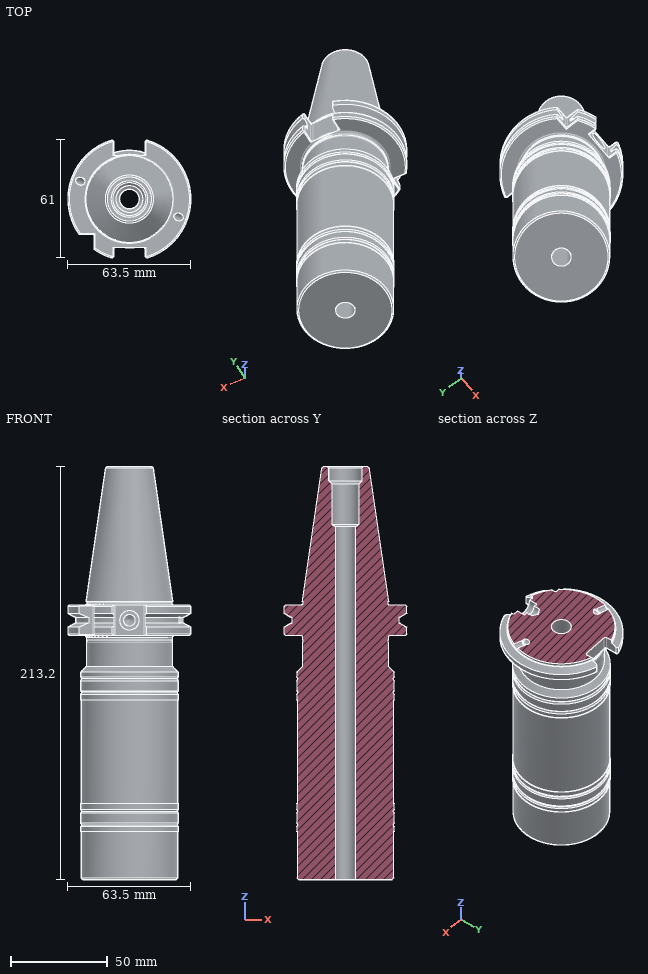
import math

import cadquery as cq


GAUGE_DIAMETER = 44.45
TAPER_PER_LENGTH = 7 / 24
TAPER_TOP = 68.25
TAPER_TOP_CHAMFER = 0.9
TAPER_BOTTOM = -1.4
COLLAR_DIAMETER = 43.95
COLLAR_FILLET = 0.9

FLANGE_DIAMETER = 63.55
FLANGE_TOP = -3.2
FLANGE_BOTTOM = -19.1
FLANGE_CHAMFER = 0.8
GRIP_GROOVE_WIDTH = 7.1
GRIP_GROOVE_FLOOR_WIDTH = 2.9
GRIP_GROOVE_DIAMETER = 55.5
GRIP_GROOVE_FLANK_ANGLE = 30

NECK_FILLET = 0.9
RELIEF_DIAMETER = 43.95
RELIEF_TOP = -21.2
RELIEF_BOTTOM = -22.5
NECK_BOTTOM = -34.9

BODY_BOTTOM = -145.0
BODY_DIAMETER = 50.0
BODY_BOTTOM_CHAMFER = 0.9
BAND_DIAMETER = 50.5
BAND_LENGTH = 14.4
LOWER_BAND_BOTTOM = -120.1
BAND_GROOVE_OFFSETS = (2.6, 9.6)
BAND_GROOVE_WIDTH = 1.85
BAND_GROOVE_STEEP_LENGTH = 0.7
BAND_GROOVE_DIAMETER = 49.3

BORE_DIAMETER = 10.0
THREAD_BORE_DIAMETER = 13.84
THREAD_BORE_DEPTH = 30.0
THREAD_ENTRY_ANGLE = 45
PILOT_DIAMETER = 17.0
PILOT_DEPTH = 7.5
PILOT_CHAMFER = 0.9
DRILL_POINT_ANGLE = 118

SLOT_WIDTH = 16.1
SLOT_RIM_CHAMFER = 0.85
SLOT_FACE_CHAMFER = 0.5
SLOT_FLOOR_FILLET = 0.9
FRONT_SLOT_FLOOR = 25.0
BACK_SLOT_FLOOR = 22.5
NOTCH_DISTANCE = 18.3
NOTCH_FACE_CHAMFER = 0.5
NOTCH_FILLET = 0.7

CHIP_POCKET_DIAMETER = 10.0
CHIP_POCKET_DEPTH = 4.6
CHIP_PILOT_DIAMETER = 6.0
CHIP_PILOT_DEPTH = 8.0

COOLANT_HOLE_DIAMETER = 3.9
COOLANT_CIRCLE_DIAMETER = 54.0
COOLANT_HOLE_ANGLES = (160, 340)
COOLANT_HOLE_DEPTH = 10.0
COOLANT_HOLE_TILT = 38
COOLANT_HOLE_OVERRUN = 3.0
PLUG_HOLE_DIAMETER = 3.24
PLUG_HOLE_DEPTH = 5.0

GAUGE_RADIUS = GAUGE_DIAMETER / 2
BAND_RADIUS = BAND_DIAMETER / 2
FLANGE_RADIUS = FLANGE_DIAMETER / 2
FLANGE_THICKNESS = FLANGE_TOP - FLANGE_BOTTOM
FLANGE_MIDDLE = (FLANGE_TOP + FLANGE_BOTTOM) / 2


def drill_point_length(diameter):
    """Height of the conical point that a drill leaves."""
    return diameter / 2 / math.tan(math.radians(DRILL_POINT_ANGLE / 2))


def revolved(points):
    """Turn an outline of (radius, z) points about Z."""
    return cq.Workplane("XZ").polyline(points).close().revolve(360, (0, 0), (0, 1))


def drilled(start, direction, diameter, depth):
    """Blind hole tool with a drill point beyond its full-diameter depth."""
    radius = diameter / 2
    hole = cq.Solid.makeCylinder(radius, depth, start, direction)
    end = start + direction * depth
    point = cq.Solid.makeCone(radius, 0, drill_point_length(diameter), end, direction)
    return cq.Workplane(hole).union(cq.Workplane(point))


def band_points(outer_end, inward):
    """Outline of a band from its outer end towards mid body; inward is -1 (down) or 1 (up)."""
    points = [(BAND_RADIUS, outer_end)]
    for offset in BAND_GROOVE_OFFSETS:
        points += [
            (BAND_RADIUS, outer_end + inward * offset),
            (BAND_GROOVE_DIAMETER / 2, outer_end + inward * (offset + BAND_GROOVE_STEEP_LENGTH)),
            (BAND_RADIUS, outer_end + inward * (offset + BAND_GROOVE_WIDTH)),
        ]
    inner_end = outer_end + inward * BAND_LENGTH
    return points + [(BAND_RADIUS, inner_end), (BODY_DIAMETER / 2, inner_end)]


def taper():
    """Taper with its chamfered end and the filleted collar below it."""
    top_radius = GAUGE_RADIUS - TAPER_TOP * TAPER_PER_LENGTH / 2
    bottom_radius = GAUGE_RADIUS - TAPER_BOTTOM * TAPER_PER_LENGTH / 2
    collar_radius = COLLAR_DIAMETER / 2
    chamfer_z = TAPER_TOP - TAPER_TOP_CHAMFER
    outline = (
        cq.Workplane("XZ")
        .moveTo(0, TAPER_TOP)
        .lineTo(top_radius - TAPER_TOP_CHAMFER, TAPER_TOP)
        .lineTo(top_radius + TAPER_TOP_CHAMFER * TAPER_PER_LENGTH / 2, chamfer_z)
        .lineTo(bottom_radius, TAPER_BOTTOM)
        .lineTo(collar_radius, TAPER_BOTTOM - (bottom_radius - collar_radius))
        .lineTo(collar_radius, FLANGE_TOP + COLLAR_FILLET)
        .radiusArc((collar_radius + COLLAR_FILLET, FLANGE_TOP), -COLLAR_FILLET)
        .lineTo(0, FLANGE_TOP)
        .close()
    )
    return outline.revolve(360, (0, 0), (0, 1))


def neck_and_body():
    """Everything below the flange, turned in one outline."""
    body_radius = BODY_DIAMETER / 2
    upper_band_top = NECK_BOTTOM - (BAND_RADIUS - GAUGE_RADIUS)
    lower_band = band_points(LOWER_BAND_BOTTOM, 1)
    lower_band.reverse()
    outline = (
        cq.Workplane("XZ")
        .moveTo(0, FLANGE_BOTTOM)
        .lineTo(GAUGE_RADIUS + NECK_FILLET, FLANGE_BOTTOM)
        .radiusArc((GAUGE_RADIUS, FLANGE_BOTTOM - NECK_FILLET), -NECK_FILLET)
    )
    remaining = [
        (GAUGE_RADIUS, RELIEF_TOP),
        (RELIEF_DIAMETER / 2, RELIEF_TOP),
        (GAUGE_RADIUS, RELIEF_BOTTOM),
        (GAUGE_RADIUS, NECK_BOTTOM),
        *band_points(upper_band_top, -1),
        *lower_band,
        (body_radius, LOWER_BAND_BOTTOM),
        (body_radius, BODY_BOTTOM + BODY_BOTTOM_CHAMFER),
        (body_radius - BODY_BOTTOM_CHAMFER, BODY_BOTTOM),
        (0, BODY_BOTTOM),
    ]
    for point in remaining:
        outline = outline.lineTo(*point)
    return outline.close().revolve(360, (0, 0), (0, 1))


def flange():
    """Flange disc with its grip groove, drive slots and notch; the groove floor is a square recess."""
    floor_radius = GRIP_GROOVE_DIAMETER / 2
    rim_half = GRIP_GROOVE_WIDTH / 2
    floor_half = GRIP_GROOVE_FLOOR_WIDTH / 2
    flank_angle = math.radians(GRIP_GROOVE_FLANK_ANGLE)
    flank_radius = FLANGE_RADIUS - (rim_half - floor_half) / math.tan(flank_angle)
    disc = revolved([
        (0, FLANGE_TOP),
        (FLANGE_RADIUS - FLANGE_CHAMFER, FLANGE_TOP),
        (FLANGE_RADIUS, FLANGE_TOP - FLANGE_CHAMFER),
        (FLANGE_RADIUS, FLANGE_MIDDLE + rim_half),
        (flank_radius, FLANGE_MIDDLE + floor_half),
        (floor_radius, FLANGE_MIDDLE + floor_half),
        (floor_radius, FLANGE_MIDDLE - floor_half),
        (flank_radius, FLANGE_MIDDLE - floor_half),
        (FLANGE_RADIUS, FLANGE_MIDDLE - rim_half),
        (FLANGE_RADIUS, FLANGE_BOTTOM + FLANGE_CHAMFER),
        (FLANGE_RADIUS - FLANGE_CHAMFER, FLANGE_BOTTOM),
        (0, FLANGE_BOTTOM),
    ])
    return (
        disc.cut(drive_slot(FRONT_SLOT_FLOOR))
        .cut(drive_slot(BACK_SLOT_FLOOR).rotate((0, 0, 0), (0, 0, 1), 180))
        .cut(index_notch())
    )


def drive_slot(floor_distance):
    """Slot on the -Y side: rounded floor corners, walls chamfered at the rim and at both faces."""
    half = SLOT_WIDTH / 2
    depth = FLANGE_RADIUS - floor_distance
    slot = (
        cq.Workplane("XY")
        .box(SLOT_WIDTH, depth, FLANGE_THICKNESS)
        .translate((0, -floor_distance - depth / 2, FLANGE_MIDDLE))
        .edges("|Z and >Y")
        .fillet(SLOT_FLOOR_FILLET)
    )

    rim_half = half + SLOT_RIM_CHAMFER
    rim_y = -math.sqrt(FLANGE_RADIUS**2 - rim_half**2)
    flare_reach = FLANGE_RADIUS + rim_y
    flare = (
        cq.Workplane("XY", origin=(0, 0, FLANGE_BOTTOM))
        .polyline([
            (-half, rim_y + SLOT_RIM_CHAMFER),
            (-rim_half - flare_reach, -FLANGE_RADIUS),
            (rim_half + flare_reach, -FLANGE_RADIUS),
            (half, rim_y + SLOT_RIM_CHAMFER),
        ])
        .close()
        .extrude(FLANGE_THICKNESS)
    )

    tool = slot.union(flare)
    face_half = half + SLOT_FACE_CHAMFER
    for side in (-1, 1):
        for face_z, inward in ((FLANGE_TOP, -1), (FLANGE_BOTTOM, 1)):
            face_chamfer = (
                cq.Workplane("XZ", origin=(0, -floor_distance, 0))
                .polyline([
                    (side * half, face_z),
                    (side * face_half, face_z),
                    (side * half, face_z + inward * SLOT_FACE_CHAMFER),
                ])
                .close()
                .extrude(depth)
            )
            tool = tool.union(face_chamfer)
    return tool


def index_notch():
    """Square notch that opens towards -X and -Y, chamfered at both faces."""
    size = FLANGE_RADIUS
    centre = -NOTCH_DISTANCE - size / 2
    notch = cq.Workplane("XY").box(size, size, FLANGE_THICKNESS)
    notch = notch.edges("|Z and >X and >Y").fillet(NOTCH_FILLET)
    notch = notch.translate((centre, centre, FLANGE_MIDDLE))
    for face_z, taper_direction in ((FLANGE_TOP, -1), (FLANGE_BOTTOM, 1)):
        chamfer = (
            cq.Workplane("XY", origin=(centre, centre, face_z))
            .rect(size + 2 * NOTCH_FACE_CHAMFER, size + 2 * NOTCH_FACE_CHAMFER)
            .extrude(taper_direction * NOTCH_FACE_CHAMFER, taper=45)
        )
        notch = notch.union(chamfer)
    return notch


def central_bore():
    """Through bore with a wider thread bore and pilot at the taper end."""
    bore = BORE_DIAMETER / 2
    thread = THREAD_BORE_DIAMETER / 2
    pilot = PILOT_DIAMETER / 2
    thread_bottom = TAPER_TOP - THREAD_BORE_DEPTH
    pilot_bottom = TAPER_TOP - PILOT_DEPTH
    point_length = (thread - bore) / math.tan(math.radians(DRILL_POINT_ANGLE / 2))
    entry_length = (pilot - thread) * math.tan(math.radians(THREAD_ENTRY_ANGLE))
    return revolved([
        (0, TAPER_TOP),
        (pilot + PILOT_CHAMFER, TAPER_TOP),
        (pilot, TAPER_TOP - PILOT_CHAMFER),
        (pilot, pilot_bottom),
        (thread, pilot_bottom - entry_length),
        (thread, thread_bottom),
        (bore, thread_bottom - point_length),
        (bore, BODY_BOTTOM),
        (0, BODY_BOTTOM),
    ])


def chip_pocket():
    """Flat-bottomed pocket with a deeper drilled hole at its centre."""
    start = cq.Vector(0, -FRONT_SLOT_FLOOR, FLANGE_MIDDLE)
    inward = cq.Vector(0, 1, 0)
    pocket = cq.Solid.makeCylinder(CHIP_POCKET_DIAMETER / 2, CHIP_POCKET_DEPTH, start, inward)
    return drilled(start, inward, CHIP_PILOT_DIAMETER, CHIP_PILOT_DEPTH).union(cq.Workplane(pocket))


def coolant_holes():
    """Holes in the flange top that lean towards the axis, and plug holes in the grip groove."""
    tilt = math.radians(COOLANT_HOLE_TILT)
    circle_radius = COOLANT_CIRCLE_DIAMETER / 2
    groove_radius = GRIP_GROOVE_DIAMETER / 2
    tools = []
    for angle in COOLANT_HOLE_ANGLES:
        x = math.cos(math.radians(angle))
        y = math.sin(math.radians(angle))
        inward = cq.Vector(-math.sin(tilt) * x, -math.sin(tilt) * y, -math.cos(tilt))
        entry = cq.Vector(circle_radius * x, circle_radius * y, FLANGE_TOP)
        start = entry - inward * COOLANT_HOLE_OVERRUN
        length = COOLANT_HOLE_OVERRUN + COOLANT_HOLE_DEPTH
        tools.append(drilled(start, inward, COOLANT_HOLE_DIAMETER, length))
        side = cq.Vector(groove_radius * x, groove_radius * y, FLANGE_MIDDLE)
        tools.append(drilled(side, cq.Vector(-x, -y, 0), PLUG_HOLE_DIAMETER, PLUG_HOLE_DEPTH))
    return tools


result = flange().union(taper()).union(neck_and_body())
result = result.cut(central_bore()).cut(chip_pocket())
for hole in coolant_holes():
    result = result.cut(hole)